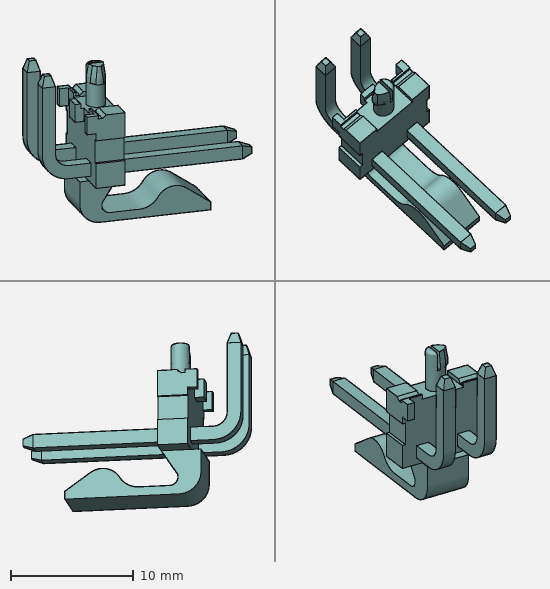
import cadquery as cq
import math


housing_width = 7.77
housing_depth = 2.5
housing_height = 6.29
channel_width = 3.97
channel_floor = 5.89
side_notch_depth = 0.27
side_notch_bottom = 2.14
side_notch_top = 4.13

groove_depth = 0.27
groove_front = 0.2
groove_floor_rear = 0.55
groove_rear = 0.85

tab_reach = 0.78
tab_bottom = 4.75
left_tab_width = 0.65
right_tab_width = 0.56
key_left = -0.63
key_right = 0.75
key_step = 0.27

pin_size = 1.15
pin_spacing = 3.91
pin_bottom = 0.6
pin_top = 9.6
pin_length = 18.12
pin_front = -4.19
pin_inner_bend = 1.15
pin_tip_length = 0.89
pin_tip_size = 0.56

hook_width = channel_width
hook_bottom = -3.71
hook_strip_thickness = 0.76
hook_front_radius = 1.78
hook_throat_radius = 0.69
hook_throat_corner_y = 0.53
hook_end_y = 10.51
hook_end_height = 0.67
bump_peak_y = 7.41
bump_radius = 1.7
hollow_radius = 1.85
bump_ramp_angle = math.radians(35.2)

post_radius = 0.8
post_top = 9.44
post_round = 0.27
post_slot_left = -0.24
post_slot_right = 0.02
post_slot_floor = 7.81
stem_edge_x = 0.47
stem_tip_x = 0.9
lug_bottom = 7.92
lug_taper_start = 8.4
lug_neck_x = 0.29
lug_shoulder = (0.62, 0.63)
lug_nose = (1.05, 0.3)
lug_tip_x = 1.15
lug_top_inset = 0.16
lug_top_neck_x = 0.24
lug_top_shoulder = (0.56, 0.47)
lug_top_nose = (0.92, 0.16)


def box(x_range, y_range, z_range):
    """Axis-aligned block given by its limits along each axis."""
    size = [high - low for low, high in (x_range, y_range, z_range)]
    corner = (x_range[0], y_range[0], z_range[0])
    return cq.Workplane("XY").box(*size, centered=False).translate(corner)


def extrude_side_profile(profile, width):
    """Extrude a closed (Y, Z) profile symmetrically about X = 0."""
    return profile.extrude(width / 2, both=True)


def make_housing():
    half_width = housing_width / 2
    depth_range = (0, housing_depth)
    body = box((-half_width, half_width), depth_range, (0, housing_height))

    tab_y = (-tab_reach, 0)
    tab_z = (tab_bottom, housing_height)
    for tab_x in (
        (-half_width, -half_width + left_tab_width),
        (half_width - right_tab_width, half_width),
        (key_left, key_right),
    ):
        body = body.union(box(tab_x, tab_y, tab_z))

    half_channel = channel_width / 2
    channel_y = (-key_step, housing_depth)
    channel_z = (channel_floor, housing_height)
    body = body.cut(box((-half_channel, half_channel), channel_y, channel_z))

    groove_floor = housing_height - groove_depth
    groove = cq.Workplane("YZ").polyline([
        (groove_front, housing_height),
        (groove_front, groove_floor),
        (groove_floor_rear, groove_floor),
        (groove_rear, housing_height),
    ]).close()
    ear_grooves = extrude_side_profile(groove, housing_width).cut(
        box((-half_channel, half_channel), depth_range, (0, housing_height))
    )
    body = body.cut(ear_grooves)

    notch_z = (side_notch_bottom, side_notch_top)
    notch_inner = half_width - side_notch_depth
    for notch_x in ((-half_width, -notch_inner), (notch_inner, half_width)):
        body = body.cut(box(notch_x, depth_range, notch_z))
    return body


def make_pin_tip(base_plane):
    """Square pyramid frustum growing from a pin end."""
    return (
        cq.Workplane(base_plane)
        .rect(pin_size, pin_size)
        .workplane(offset=pin_tip_length)
        .rect(pin_tip_size, pin_tip_size)
        .loft(ruled=True)
    )


def make_pin():
    """Bent square pin centred on X = 0."""
    rear_shoulder = pin_front + pin_length - pin_tip_length
    top_shoulder = pin_top - pin_tip_length
    outer_bend = pin_inner_bend + pin_size
    bend_y = pin_front + outer_bend
    bend_z = pin_bottom + outer_bend
    diagonal = math.sqrt(0.5)
    outer_mid = (bend_y - outer_bend * diagonal, bend_z - outer_bend * diagonal)
    inner_mid = (bend_y - pin_inner_bend * diagonal, bend_z - pin_inner_bend * diagonal)
    profile = (
        cq.Workplane("YZ")
        .moveTo(rear_shoulder, pin_bottom)
        .lineTo(bend_y, pin_bottom)
        .threePointArc(outer_mid, (pin_front, bend_z))
        .lineTo(pin_front, top_shoulder)
        .lineTo(pin_front + pin_size, top_shoulder)
        .lineTo(pin_front + pin_size, bend_z)
        .threePointArc(inner_mid, (bend_y, pin_bottom + pin_size))
        .lineTo(rear_shoulder, pin_bottom + pin_size)
        .close()
    )
    rear_center = (0, rear_shoulder, pin_bottom + pin_size / 2)
    top_center = (0, pin_front + pin_size / 2, top_shoulder)
    rear_tip = make_pin_tip(cq.Plane(rear_center, xDir=(1, 0, 0), normal=(0, 1, 0)))
    top_tip = make_pin_tip(cq.Plane(top_center, xDir=(1, 0, 0), normal=(0, 0, 1)))
    return extrude_side_profile(profile, pin_size).union(rear_tip).union(top_tip)


def make_hook():
    strip_top = hook_bottom + hook_strip_thickness

    bump_start = (
        bump_peak_y + bump_radius * math.sin(bump_ramp_angle),
        strip_top + bump_radius * math.cos(bump_ramp_angle),
    )
    bump_peak = (bump_peak_y, strip_top + bump_radius)
    center_distance = bump_radius + hollow_radius
    hollow_y = bump_peak_y - math.sqrt(center_distance**2 - hollow_radius**2)
    blend = bump_radius / center_distance
    bump_end = (
        bump_peak_y + (hollow_y - bump_peak_y) * blend,
        strip_top + hollow_radius * blend,
    )

    profile = (
        cq.Workplane("YZ")
        .moveTo(-tab_reach, 0)
        .lineTo(-tab_reach, hook_bottom)
        .lineTo(hook_end_y, hook_bottom)
        .lineTo(hook_end_y, hook_bottom + hook_end_height)
        .lineTo(*bump_start)
        .threePointArc(bump_peak, bump_end)
        .tangentArcPoint((hollow_y, strip_top), relative=False)
        .lineTo(hook_throat_corner_y, strip_top)
        .lineTo(housing_depth, 0)
        .close()
    )
    hook = extrude_side_profile(profile, hook_width)
    front_corner = cq.selectors.NearestToPointSelector((0, -tab_reach, hook_bottom))
    throat_corner = cq.selectors.NearestToPointSelector((0, hook_throat_corner_y, strip_top))
    hook = hook.edges(front_corner).fillet(hook_front_radius)
    return hook.edges(throat_corner).fillet(hook_throat_radius)


def on_circle(x, radius):
    """Rear point at x of a circle about the post axis."""
    return (x, math.sqrt(radius**2 - x**2))


def mirrored(point):
    """The same point on the other side of Y = 0."""
    return (point[0], -point[1])


def lug_outline(height, radius, neck_x, shoulder, nose, tip_x):
    """Pointed outline of the lug, to the right of the post slot."""
    start = on_circle(post_slot_right, radius)
    middle = on_circle((post_slot_right + neck_x) / 2, radius)
    neck = on_circle(neck_x, radius)
    return (
        cq.Workplane("XY", origin=(0, 0, height))
        .moveTo(*start)
        .threePointArc(middle, neck)
        .lineTo(*shoulder)
        .lineTo(*nose)
        .threePointArc((tip_x, 0), mirrored(nose))
        .lineTo(*mirrored(shoulder))
        .lineTo(*mirrored(neck))
        .threePointArc(mirrored(middle), mirrored(start))
        .close()
    )


def make_post():
    """Split post centred on the Z axis."""
    neck = on_circle(lug_neck_x, post_radius)
    side_slope = (lug_shoulder[1] - neck[1]) / (lug_shoulder[0] - neck[0])
    stem_edge = (stem_edge_x, neck[1] + side_slope * (stem_edge_x - neck[0]))
    post = (
        cq.Workplane("XY", origin=(0, 0, channel_floor))
        .moveTo(*neck)
        .lineTo(*stem_edge)
        .threePointArc((stem_tip_x, 0), mirrored(stem_edge))
        .lineTo(*mirrored(neck))
        .threePointArc((-post_radius, 0), neck)
        .close()
        .extrude(post_top - channel_floor)
    )

    reach = 2 * post_radius
    y_range = (-reach, reach)
    post = post.cut(box((post_slot_left, post_slot_right), y_range, (post_slot_floor, post_top)))
    post = post.cut(box((post_slot_left, reach), y_range, (lug_bottom, post_top)))

    post = post.faces(">Z").edges("%CIRCLE").fillet(post_round)

    lug_sizes = (post_radius, lug_neck_x, lug_shoulder, lug_nose, lug_tip_x)
    lug_top_sizes = (
        post_radius - lug_top_inset,
        lug_top_neck_x,
        lug_top_shoulder,
        lug_top_nose,
        lug_tip_x - lug_top_inset,
    )
    lug = lug_outline(lug_bottom, *lug_sizes).extrude(lug_taper_start - lug_bottom)
    head_outlines = [
        lug_outline(lug_taper_start, *lug_sizes).wire().val(),
        lug_outline(post_top, *lug_top_sizes).wire().val(),
    ]
    head = cq.Workplane(cq.Solid.makeLoft(head_outlines, True))
    return post.union(lug).union(head)


result = make_housing().union(make_hook())
for side in (-1, 1):
    result = result.union(make_pin().translate((side * pin_spacing / 2, 0, 0)))
result = result.union(make_post().translate((0, housing_depth / 2, 0)))